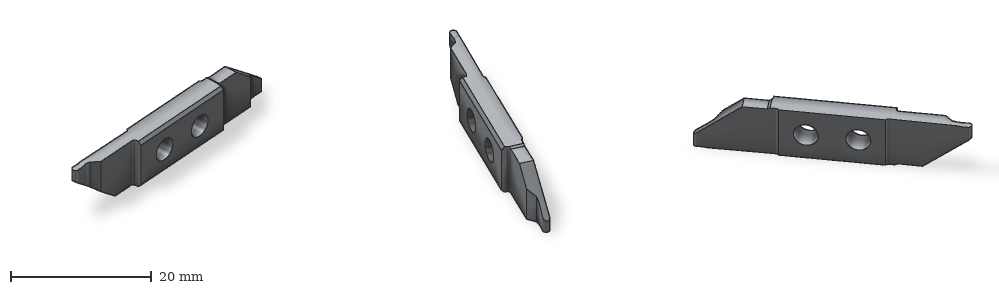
import cadquery as cq
import math

length = 40.0
width = 3.6
height = 8.0
half_length = length / 2
half_width = width / 2
half_height = height / 2

pad_end = 7.7
pad_rise = 0.3
pad_run = 0.5
shoulder_y = 8.85
shoulder_fillet = 0.45
arm_right = 0.55
arm_left = pad_rise - half_width
taper_y = 15.95
neck_right = -0.7
neck_end = 17.7
slope_end_x = -0.55
tip_radius = 0.5
tip_x = -1.1
tip_y = half_length - tip_radius

heel_ramp_start = 8.95
heel_ramp_end = 9.35
heel_drop = 0.25
heel_end = 12.95
nose_z = -1.95
edge_ramp_start = 18.0
edge_ramp_end = 18.35
edge_drop = 0.1

chamfer = 0.5
hole_diameter = 3.55
hole_spacing = 7.5


def half_plan():
    """Solid of the +Y half of the plan profile, at full height."""
    arc_radius = (pad_run**2 + pad_rise**2) / (2 * pad_rise)
    mid_angle = math.asin(pad_run / arc_radius) / 2
    pad_arc_mid = (
        arm_left - arc_radius * (1 - math.cos(mid_angle)),
        pad_end + pad_run - arc_radius * math.sin(mid_angle),
    )
    fillet_mid = shoulder_fillet * (1 - math.sqrt(0.5))
    slope_end_y = taper_y + arm_right - slope_end_x
    return (
        cq.Workplane("XY", origin=(0, 0, -half_height))
        .moveTo(-half_width, 0)
        .lineTo(half_width, 0)
        .lineTo(half_width, shoulder_y)
        .lineTo(arm_right + shoulder_fillet, shoulder_y)
        .threePointArc(
            (arm_right + fillet_mid, shoulder_y + fillet_mid),
            (arm_right, shoulder_y + shoulder_fillet),
        )
        .lineTo(arm_right, taper_y)
        .lineTo(slope_end_x, slope_end_y)
        .lineTo(neck_right, neck_end)
        .lineTo(tip_x + tip_radius, tip_y)
        .threePointArc((tip_x, half_length), (tip_x - tip_radius, tip_y))
        .lineTo(arm_left, pad_end + pad_run)
        .threePointArc(pad_arc_mid, (-half_width, pad_end))
        .close()
        .extrude(height)
    )


def side_outline():
    """Prism along X bounding the part by its side outline."""
    one_end = [
        (edge_ramp_start, -half_height),
        (edge_ramp_end, edge_drop - half_height),
        (half_length, edge_drop - half_height),
        (half_length, nose_z),
        (heel_end, half_height - heel_drop),
        (heel_ramp_end, half_height - heel_drop),
        (heel_ramp_start, half_height),
    ]
    other_end = [(-y, -z) for y, z in one_end]
    return (
        cq.Workplane("YZ", origin=(-half_width, 0, 0))
        .polyline(one_end + other_end)
        .close()
        .extrude(width)
    )


def body_section():
    """Prism along Y with the two chamfers on the +X edges."""
    return (
        cq.Workplane("XY")
        .box(width, length, height)
        .edges(">X and |Y")
        .chamfer(chamfer)
    )


def screw_holes():
    """Cylinders through the full width along X."""
    return (
        cq.Workplane("YZ", origin=(-half_width, 0, 0))
        .pushPoints([(-hole_spacing / 2, 0), (hole_spacing / 2, 0)])
        .circle(hole_diameter / 2)
        .extrude(width)
    )


plan = half_plan()
blank = plan.union(plan.mirror("XZ"))
result = blank.intersect(side_outline()).intersect(body_section()).cut(screw_holes())